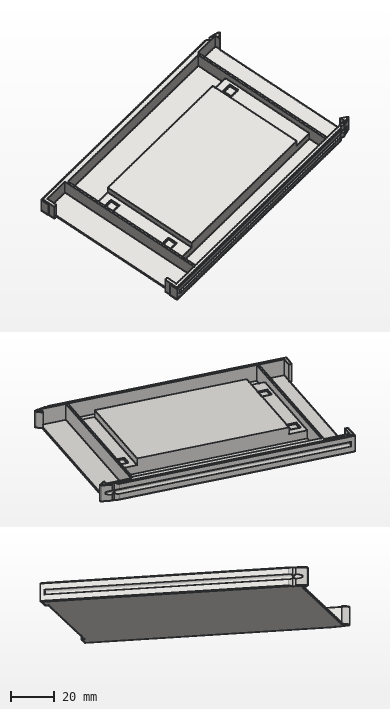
import cadquery as cq
import math

WIDTH = 80.0
LENGTH = 125.22
HEIGHT = 9.0
HALF_WIDTH = WIDTH / 2

RAIL_THICKNESS = 2.0
RAIL_INNER_X = HALF_WIDTH - RAIL_THICKNESS
EDGE_CHAMFER = 0.5

LIP_THICKNESS = 2.0
LIP_OUTER_LENGTH = 4.3
LIP_LENGTH = 7.4

HOOK_TAPER_START_Y = 118.5
HOOK_SHOULDER_Y = 122.2
HOOK_SHOULDER_X = 35.3
HOOK_TIP_RADIUS = 0.6
HOOK_TIP_X = 37.85

NOTCH_LEAD_START_Y = 116.6
NOTCH_LEAD_END_Y = 118.4
NOTCH_LEAD_RADIUS = 2.0
NOTCH_FLOOR_RADIUS = 1.9

GROOVE_RADIUS = 1.15
GROOVE_START_Y = 2.0

FLOOR_THICKNESS = 0.8
FLOOR_FRONT_Y = LIP_THICKNESS
FLOOR_BACK_Y = HOOK_SHOULDER_Y
RIB_THICKNESS = 1.0
FRONT_RIB_Y = 14.6
BACK_RIB_Y = 108.8

LEFT_LINER_THICKNESS = 1.0

PLATFORM_LEFT_X = -21.0
PLATFORM_RIGHT_X = 28.4
LEDGE_TOP_Z = 5.0
PLATFORM_TOP_Z = 8.5
PLATFORM_FRONT_Y = 24.6
PLATFORM_BACK_Y = 99.7

RECESS_TOP_SIZE = 5.0
RECESS_DEPTH = 0.5
RECESS_FLOOR_SIZE = RECESS_TOP_SIZE - 2 * RECESS_DEPTH
RECESS_LEFT_X = -14.7
RECESS_RIGHT_X = 19.1
RECESS_FRONT_Y = 19.8
RECESS_BACK_Y = 104.8
RECESS_CENTRES = [
    (RECESS_LEFT_X, RECESS_FRONT_Y),
    (RECESS_RIGHT_X, RECESS_FRONT_Y),
    (RECESS_LEFT_X, RECESS_BACK_Y),
]

SELECT_MARGIN = 0.01


def box(x_min, x_max, y_min, y_max, z_min, z_max):
    """Block between two opposite corners."""
    size = (x_max - x_min, y_max - y_min, z_max - z_min)
    return cq.Workplane("XY").box(*size, centered=False).translate((x_min, y_min, z_min))


def tangent_point(point, centre, radius, side):
    """Touching point of the line from a point to a circle; side (+1 or -1) picks which tangent."""
    dx = point[0] - centre[0]
    dy = point[1] - centre[1]
    angle = math.atan2(dy, dx) + side * math.acos(radius / math.hypot(dx, dy))
    return (centre[0] + radius * math.cos(angle), centre[1] + radius * math.sin(angle))


def rail_blank():
    """Left rail with its outer lip and hook, chamfered top and bottom around the outside."""
    lip_end_x = LIP_OUTER_LENGTH - HALF_WIDTH
    taper_start = (-HALF_WIDTH, HOOK_TAPER_START_Y)
    shoulder_end = (-HOOK_SHOULDER_X, HOOK_SHOULDER_Y)
    tip_centre = (-HOOK_TIP_X, LENGTH - HOOK_TIP_RADIUS)
    inner_tangent = tangent_point(shoulder_end, tip_centre, HOOK_TIP_RADIUS, 1)
    outer_tangent = tangent_point(taper_start, tip_centre, HOOK_TIP_RADIUS, -1)
    rail = (
        cq.Workplane("XY")
        .moveTo(-HALF_WIDTH, 0)
        .lineTo(lip_end_x, 0)
        .lineTo(lip_end_x, LIP_THICKNESS)
        .lineTo(-RAIL_INNER_X, LIP_THICKNESS)
        .lineTo(-RAIL_INNER_X, HOOK_SHOULDER_Y)
        .lineTo(*shoulder_end)
        .lineTo(*inner_tangent)
        .threePointArc((-HOOK_TIP_X, LENGTH), outer_tangent)
        .lineTo(*taper_start)
        .close()
        .extrude(HEIGHT)
    )
    front = cq.selectors.BoxSelector(
        (-HALF_WIDTH, -SELECT_MARGIN, -SELECT_MARGIN),
        (lip_end_x, SELECT_MARGIN, HEIGHT + SELECT_MARGIN),
    )
    outside = cq.selectors.BoxSelector(
        (-HALF_WIDTH - SELECT_MARGIN, 0, -SELECT_MARGIN),
        (-HALF_WIDTH + SELECT_MARGIN, LENGTH, HEIGHT + SELECT_MARGIN),
    )
    taper = cq.selectors.BoxSelector(
        (-HALF_WIDTH, HOOK_TAPER_START_Y, -SELECT_MARGIN),
        (-RAIL_INNER_X, HOOK_SHOULDER_Y - SELECT_MARGIN, HEIGHT + SELECT_MARGIN),
    )
    tip = cq.selectors.BoxSelector(
        (-HALF_WIDTH, HOOK_SHOULDER_Y + SELECT_MARGIN, -SELECT_MARGIN),
        (-HOOK_SHOULDER_X, LENGTH + SELECT_MARGIN, HEIGHT + SELECT_MARGIN),
    )
    outer_edges = front + outside + taper + tip
    return rail.faces("<Z or >Z").edges(outer_edges).chamfer(EDGE_CHAMFER)


def notch_cutter():
    """Notch with a rounded lead-in at the front and a hollow floor rising to the hook."""
    lead_centre_x = NOTCH_LEAD_RADIUS - HALF_WIDTH

    def lead_point(y):
        """Point of the rounded lead-in at a given Y."""
        rise = y - NOTCH_LEAD_START_Y
        return (lead_centre_x - math.sqrt(NOTCH_LEAD_RADIUS**2 - rise**2), y)

    lead_start = lead_point(NOTCH_LEAD_START_Y)
    lead_middle = lead_point((NOTCH_LEAD_START_Y + NOTCH_LEAD_END_Y) / 2)
    lead_end = lead_point(NOTCH_LEAD_END_Y)
    floor_centre_x = lead_end[0] - NOTCH_FLOOR_RADIUS
    diagonal = NOTCH_FLOOR_RADIUS * math.sqrt(0.5)
    floor_middle = (floor_centre_x + diagonal, NOTCH_LEAD_END_Y + diagonal)
    floor_end = (floor_centre_x, NOTCH_LEAD_END_Y + NOTCH_FLOOR_RADIUS)
    return (
        cq.Workplane("XY")
        .moveTo(*lead_start)
        .threePointArc(lead_middle, lead_end)
        .threePointArc(floor_middle, floor_end)
        .lineTo(floor_centre_x, NOTCH_LEAD_START_Y)
        .close()
        .extrude(HEIGHT)
    )


def groove_cutter():
    """Round bar centred on the outside face at mid height, running out at the back end."""
    return (
        cq.Workplane("XZ", origin=(-HALF_WIDTH, GROOVE_START_Y, HEIGHT / 2))
        .circle(GROOVE_RADIUS)
        .extrude(GROOVE_START_Y - LENGTH)
    )


def left_rail():
    """Complete left rail; the inner end of the lip is set back by the chamfer."""
    lip_end = box(
        -RAIL_INNER_X, LIP_LENGTH - HALF_WIDTH, EDGE_CHAMFER, LIP_THICKNESS, 0, HEIGHT
    )
    return rail_blank().cut(notch_cutter()).cut(groove_cutter()).union(lip_end)


def tray():
    """Floor, cross ribs and the liner of the left rail."""
    floor = box(
        -RAIL_INNER_X, RAIL_INNER_X, FLOOR_FRONT_Y, FLOOR_BACK_Y, 0, FLOOR_THICKNESS
    )
    liner = box(
        -RAIL_INNER_X, LEFT_LINER_THICKNESS - RAIL_INNER_X, FRONT_RIB_Y, BACK_RIB_Y, 0, HEIGHT
    )
    body = floor.union(liner)
    for rib_y in (FRONT_RIB_Y, BACK_RIB_Y):
        rib = box(-RAIL_INNER_X, RAIL_INNER_X, rib_y, rib_y + RIB_THICKNESS, 0, HEIGHT)
        body = body.union(rib)
    return body


def recess_cutter(x, y):
    """Square recess with sides sloping in at 45 degrees to its floor."""
    return (
        cq.Workplane("XY", origin=(x, y, LEDGE_TOP_Z))
        .rect(RECESS_TOP_SIZE, RECESS_TOP_SIZE)
        .workplane(offset=-RECESS_DEPTH)
        .rect(RECESS_FLOOR_SIZE, RECESS_FLOOR_SIZE)
        .loft()
    )


def platform():
    """Raised platform with a lower, recessed ledge at the front and at the back."""
    ledge = box(
        PLATFORM_LEFT_X, PLATFORM_RIGHT_X, FRONT_RIB_Y, BACK_RIB_Y, 0, LEDGE_TOP_Z
    )
    top = box(
        PLATFORM_LEFT_X, PLATFORM_RIGHT_X, PLATFORM_FRONT_Y, PLATFORM_BACK_Y, 0, PLATFORM_TOP_Z
    )
    body = ledge.union(top)
    for x, y in RECESS_CENTRES:
        body = body.cut(recess_cutter(x, y))
    return body


rail = left_rail()
result = tray().union(rail).union(rail.mirror("YZ")).union(platform())